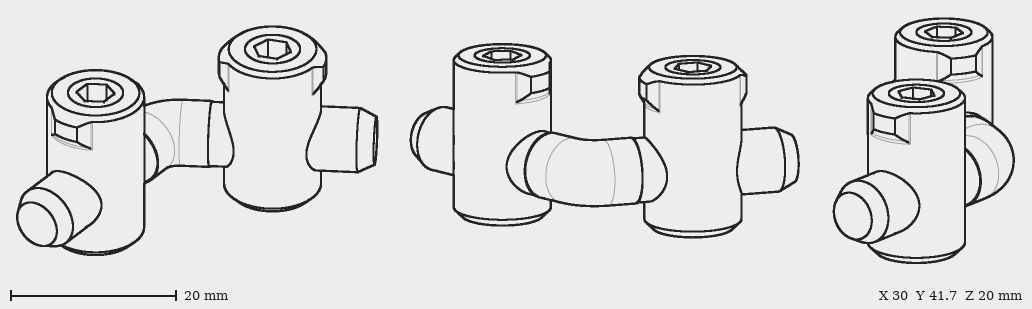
import cadquery as cq
import math

rod_diameter = 7.8
rod_radius = rod_diameter / 2
sleeve_radius = 4.0
sleeve_start = 7.5
bend_start = 11.0
bend_radius = 4.6
bend_angle = 60.0
rod_end = 12.47
tip_radius = 2.9
tip_length = 2.0

clamp_radius = 5.9
clamp_top = 12.35
clamp_height = 20.0
clamp_bottom = clamp_top - clamp_height
top_chamfer = 0.6
bottom_chamfer = 1.0

lug_radius = 6.5
lug_half_width = 1.63
lug_side_slope = 42.5
lug_face_bottom = 3.25
lug_underside_angle = 30.0
lug_blend_radius = 0.8

screw_radius = 3.35
socket_across_flats = 4.0
socket_depth = 4.0
socket_point_angle = 120.0
screw_turns = [0.0, 48.0]

bend_radians = math.radians(bend_angle)
bend_end_x = bend_radius * (1 - math.cos(bend_radians))
bend_end_y = bend_start + bend_radius * math.sin(bend_radians)
second_clamp_x = bend_end_x + bend_start * math.sin(bend_radians)
second_clamp_y = bend_end_y + bend_start * math.cos(bend_radians)
clamp_placements = [(0.0, 0.0, 0.0), (second_clamp_x, second_clamp_y, -bend_angle)]


def place(body, placement):
    """Turn a body about Z, then move it onto its clamp axis."""
    x, y, turn = placement
    return body.rotate((0, 0, 0), (0, 0, 1), turn).translate((x, y, 0))


def make_rod_arm():
    """Straight arm of the rod along Y, from the tapered tip to the bend."""
    return (
        cq.Workplane("XY")
        .moveTo(0, -rod_end)
        .lineTo(tip_radius, -rod_end)
        .lineTo(rod_radius, tip_length - rod_end)
        .lineTo(rod_radius, sleeve_start)
        .lineTo(sleeve_radius, sleeve_start)
        .lineTo(sleeve_radius, bend_start)
        .lineTo(0, bend_start)
        .close()
        .revolve(360, (0, 0, 0), (0, 1, 0))
    )


def make_rod():
    bend = (
        cq.Workplane("XZ", origin=(0, bend_start, 0))
        .circle(sleeve_radius)
        .revolve(bend_angle, (bend_radius, 0.4, 0), (bend_radius, 0, 0))
    )
    second_arm = place(
        make_rod_arm().mirror("XZ"), (second_clamp_x, second_clamp_y, -bend_angle)
    )
    return make_rod_arm().union(bend).union(second_arm)


def make_lug_ring():
    """Full ring with the lug's section: flat top, upright face, blended underside."""
    angle = math.radians(lug_underside_angle)
    face_bottom = clamp_top - lug_face_bottom
    blend_center_r = clamp_radius + lug_blend_radius
    cone_end_r = blend_center_r - lug_blend_radius * math.cos(angle)
    cone_end_z = face_bottom - (lug_radius - cone_end_r) / math.tan(angle)
    blend_center_z = cone_end_z - lug_blend_radius * math.sin(angle)
    blend_mid_r = blend_center_r - lug_blend_radius * math.cos(angle / 2)
    blend_mid_z = blend_center_z + lug_blend_radius * math.sin(angle / 2)
    return (
        cq.Workplane("XZ")
        .moveTo(0, clamp_top)
        .lineTo(lug_radius, clamp_top)
        .lineTo(lug_radius, face_bottom)
        .lineTo(cone_end_r, cone_end_z)
        .threePointArc((blend_mid_r, blend_mid_z), (clamp_radius, blend_center_z))
        .lineTo(0, blend_center_z)
        .close()
        .revolve(360, (0, 0, 0), (0, 1, 0))
    )


def make_lug_plan():
    """Prism limiting the +Y lug: sloped sides blended into the clamp's round wall."""
    slope = math.radians(lug_side_slope)
    corner_y = math.sqrt(lug_radius**2 - lug_half_width**2)
    side_distance = lug_half_width * math.sin(slope) + corner_y * math.cos(slope)
    blend_center_r = clamp_radius + lug_blend_radius
    foot_bearing = slope - math.acos((side_distance + lug_blend_radius) / blend_center_r)
    center_x = blend_center_r * math.sin(foot_bearing)
    center_y = blend_center_r * math.cos(foot_bearing)

    def blend_point(bearing):
        return (
            center_x - lug_blend_radius * math.sin(bearing),
            center_y - lug_blend_radius * math.cos(bearing),
        )

    foot = blend_point(foot_bearing)
    middle = blend_point((foot_bearing + slope) / 2)
    side_end = blend_point(slope)
    half = (
        cq.Workplane("XY", origin=(0, 0, clamp_bottom))
        .lineTo(*foot)
        .threePointArc(middle, side_end)
        .lineTo(lug_half_width, corner_y)
        .lineTo(lug_half_width, lug_radius)
        .lineTo(0, lug_radius)
        .close()
        .extrude(clamp_height)
    )
    return half.union(half.mirror("YZ"))


def make_top_envelope():
    """Round blank whose 45 degree top edge bevels the barrel and the lugs together."""
    top_edge = top_chamfer + lug_radius - clamp_radius
    return (
        cq.Workplane("XY", origin=(0, 0, clamp_bottom))
        .circle(lug_radius)
        .extrude(clamp_height)
        .faces(">Z").chamfer(top_edge)
    )


def make_clamp():
    barrel = (
        cq.Workplane("XY", origin=(0, 0, clamp_bottom))
        .circle(clamp_radius)
        .extrude(clamp_height)
        .faces("<Z").chamfer(bottom_chamfer)
    )
    lug = make_lug_ring().intersect(make_lug_plan())
    rod_hole = cq.Workplane("XZ").circle(rod_radius).extrude(clamp_radius + lug_radius, both=True)
    screw_hole = cq.Workplane("XY").circle(screw_radius).extrude(clamp_top)
    blank = barrel.union(lug).union(lug.mirror("XZ")).clean()
    return blank.intersect(make_top_envelope()).cut(rod_hole).cut(screw_hole)


def make_set_screw():
    """Screw flush with the clamp top and bearing on the rod, with a hex socket."""
    corner_radius = socket_across_flats / 2 / math.cos(math.radians(30))
    socket_floor = clamp_top - socket_depth
    point_depth = corner_radius / math.tan(math.radians(socket_point_angle / 2))
    shank = (
        cq.Workplane("XY", origin=(0, 0, rod_radius))
        .circle(screw_radius)
        .extrude(clamp_top - rod_radius)
    )
    hexagon = (
        cq.Workplane("XY", origin=(0, 0, socket_floor - point_depth))
        .transformed(rotate=(0, 0, 90))
        .polygon(6, 2 * corner_radius)
        .extrude(socket_depth + point_depth)
    )
    drilled = (
        cq.Workplane("XZ")
        .moveTo(0, socket_floor - point_depth)
        .lineTo(corner_radius, socket_floor)
        .lineTo(corner_radius, clamp_top)
        .lineTo(0, clamp_top)
        .close()
        .revolve(360, (0, 0, 0), (0, 1, 0))
    )
    return shank.cut(hexagon.intersect(drilled))


rod = make_rod()
clamps = [place(make_clamp(), placement) for placement in clamp_placements]
set_screws = []
for placement, turn in zip(clamp_placements, screw_turns):
    screw = make_set_screw().rotate((0, 0, 0), (0, 0, 1), turn)
    set_screws.append(place(screw, placement))

result = cq.Compound.makeCompound([
    rod.val(),
    *[clamp.val() for clamp in clamps],
    *[screw.val() for screw in set_screws],
])